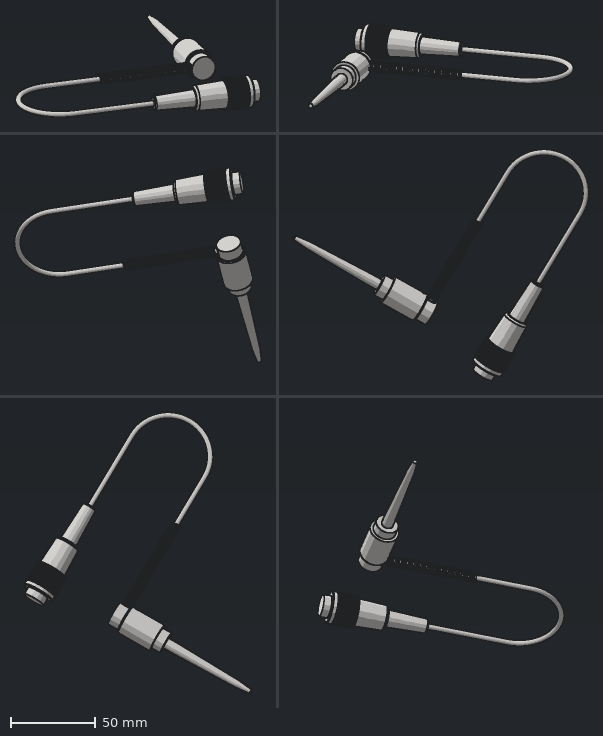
import cadquery as cq
import math


CABLE_DIAMETER = 3.8
CABLE_X = 90.3
CONNECTOR_X = 140.3
BEND_RADIUS = (CONNECTOR_X - CABLE_X) / 2
BEND_Y = -98.5
CABLE_START_Y = -3.8

TIP_DOME_LENGTH = 0.8
TIP_RADIUS = 1.5
TIP_CONE_END_X = 10.2
TIP_CONE_END_RADIUS = 5.0 / 2
TAPER_END_X = 52.6
STYLUS_RADIUS = 7.0 / 2

COLLAR_START_X = 59.0
COLLAR_RADIUS = 14.0 / 2
BARREL_START_X = 65.0
BARREL_RADIUS = 18 / 2
BARREL_END_X = 87.7
BARREL_CHAMFER = 0.8
CAP_END_X = 95.0
CAP_RADIUS = 15 / 2
SPRING_SEAT_DEPTH = 0.5
PIN_HOLE_DIAMETER = 1.5
PIN_HOLE_X = 84.3
PIN_HOLE_DEPTH = 1.5

SPRING_DIAMETER = 6.5
WIRE_DIAMETER = 1.0
SPRING_START_Y = -7.7
SPRING_END_Y = -65.0
SPRING_TURNS = 28.5

NOSE_END_Y = 17.1
NOSE_RADIUS = 13.7 / 2
GRIP_END_Y = 12.3
GRIP_RADIUS = 19.8 / 2
GRIP_START_Y = -4.0
GRIP_CHAMFER = 0.5
KNURL_END_Y = 9.2
KNURL_TEETH = 120
KNURL_DEPTH = 0.3

BOOT_TOP_RADIUS = 17.1 / 2
SHOULDER_Y = -21.8
SHOULDER_RADIUS = 7.8
SHOULDER_CHAMFER_LENGTH = 1.5
SHOULDER_FACE_RADIUS = 6.5
SLEEVE_TOP_RADIUS = 5.4
BOOT_END_Y = -48.7
BOOT_END_RADIUS = 9 / 2
BOOT_END_CHAMFER = 0.8


def cylinder_along_y(diameter, center_x, start_y, end_y):
    """Cylinder parallel to Y in the plane Z = 0."""
    axis_plane = cq.Plane(origin=(center_x, start_y, 0), xDir=(1, 0, 0), normal=(0, 1, 0))
    return cq.Workplane(axis_plane).circle(diameter / 2).extrude(end_y - start_y)


def turned_about_connector_axis(outline):
    """Solid of revolution about the connector axis from (radius, Y) points."""
    section = cq.Workplane("XY", origin=(CONNECTOR_X, 0, 0)).polyline(outline).close()
    return section.revolve(360, (0, 0, 0), (0, 1, 0))


def make_stylus():
    """Slender tapered rod with a domed tip."""
    dome_radius = (TIP_RADIUS**2 + TIP_DOME_LENGTH**2) / (2 * TIP_DOME_LENGTH)
    dome_half_angle = math.asin(TIP_RADIUS / dome_radius) / 2
    dome_middle = (dome_radius * (1 - math.cos(dome_half_angle)), dome_radius * math.sin(dome_half_angle))
    return (
        cq.Workplane("XY")
        .moveTo(0, 0)
        .threePointArc(dome_middle, (TIP_DOME_LENGTH, TIP_RADIUS))
        .lineTo(TIP_CONE_END_X, TIP_CONE_END_RADIUS)
        .lineTo(TAPER_END_X, STYLUS_RADIUS)
        .lineTo(COLLAR_START_X, STYLUS_RADIUS)
        .lineTo(COLLAR_START_X, 0)
        .close()
        .revolve(360, (0, 0, 0), (1, 0, 0))
    )


def make_housing():
    """Stepped round housing with a spring seat, a cable hole and a pin hole."""
    outline = [
        (COLLAR_START_X, 0),
        (COLLAR_START_X, COLLAR_RADIUS),
        (BARREL_START_X, COLLAR_RADIUS),
        (BARREL_START_X, BARREL_RADIUS),
        (BARREL_END_X - BARREL_CHAMFER, BARREL_RADIUS),
        (BARREL_END_X, BARREL_RADIUS - BARREL_CHAMFER),
        (BARREL_END_X, CAP_RADIUS),
        (CAP_END_X, CAP_RADIUS),
        (CAP_END_X, 0),
    ]
    housing = cq.Workplane("XY").polyline(outline).close().revolve(360, (0, 0, 0), (1, 0, 0))

    spring_seat = cylinder_along_y(SPRING_DIAMETER, CABLE_X, -BARREL_RADIUS, SPRING_SEAT_DEPTH - CAP_RADIUS)
    cable_hole = cylinder_along_y(CABLE_DIAMETER, CABLE_X, -BARREL_RADIUS, CABLE_START_Y)
    pin_hole = cylinder_along_y(PIN_HOLE_DIAMETER, PIN_HOLE_X, -BARREL_RADIUS, PIN_HOLE_DEPTH - BARREL_RADIUS)
    return housing.cut(spring_seat).cut(cable_hole).cut(pin_hole)


def make_cable():
    """Round cable from the housing, around the bend, to the plug."""
    path = (
        cq.Workplane("XY")
        .moveTo(CABLE_X, CABLE_START_Y)
        .lineTo(CABLE_X, BEND_Y)
        .threePointArc((CABLE_X + BEND_RADIUS, BEND_Y - BEND_RADIUS), (CONNECTOR_X, BEND_Y))
        .lineTo(CONNECTOR_X, GRIP_START_Y)
    )
    start = cq.Workplane("XZ", origin=(CABLE_X, CABLE_START_Y, 0)).circle(CABLE_DIAMETER / 2)
    return start.sweep(path)


def make_spring():
    """Open coil that surrounds the cable without touching it."""
    coil_radius = (SPRING_DIAMETER - WIRE_DIAMETER) / 2
    length = SPRING_START_Y - SPRING_END_Y
    helix = cq.Wire.makeHelix(length / SPRING_TURNS, length, coil_radius)
    wire_section = cq.Workplane("XZ").center(coil_radius, 0).circle(WIRE_DIAMETER / 2)
    coil = wire_section.sweep(cq.Workplane(helix), isFrenet=True)
    return coil.rotate((0, 0, 0), (1, 0, 0), 90).translate((CABLE_X, SPRING_START_Y, 0))


def make_plug():
    """Plain nose and a grip with a straight knurl."""
    blank = turned_about_connector_axis([
        (0, GRIP_START_Y),
        (GRIP_RADIUS - GRIP_CHAMFER, GRIP_START_Y),
        (GRIP_RADIUS, GRIP_START_Y + GRIP_CHAMFER),
        (GRIP_RADIUS, GRIP_END_Y - GRIP_CHAMFER),
        (GRIP_RADIUS - GRIP_CHAMFER, GRIP_END_Y),
        (NOSE_RADIUS, GRIP_END_Y),
        (NOSE_RADIUS, NOSE_END_Y),
        (0, NOSE_END_Y),
    ])
    toothed_outline = []
    for corner in range(2 * KNURL_TEETH):
        angle = math.pi * corner / KNURL_TEETH
        radius = GRIP_RADIUS - KNURL_DEPTH * (corner % 2)
        toothed_outline.append((radius * math.cos(angle), radius * math.sin(angle)))
    knurl_plane = cq.Plane(origin=(CONNECTOR_X, GRIP_START_Y, 0), xDir=(1, 0, 0), normal=(0, 1, 0))
    knurl_length = KNURL_END_Y - GRIP_START_Y
    teeth = cq.Workplane(knurl_plane).polyline(toothed_outline).close().extrude(knurl_length)
    around_teeth = cq.Workplane(knurl_plane).circle(2 * GRIP_RADIUS).extrude(knurl_length).cut(teeth)
    return blank.cut(around_teeth)


def make_boot():
    """Two-stage tapered boot, bored for the cable."""
    bore_radius = CABLE_DIAMETER / 2
    shoulder_face_y = SHOULDER_Y - SHOULDER_CHAMFER_LENGTH
    return turned_about_connector_axis([
        (bore_radius, GRIP_START_Y),
        (BOOT_TOP_RADIUS, GRIP_START_Y),
        (SHOULDER_RADIUS, SHOULDER_Y),
        (SHOULDER_FACE_RADIUS, shoulder_face_y),
        (SLEEVE_TOP_RADIUS, shoulder_face_y),
        (BOOT_END_RADIUS, BOOT_END_Y + BOOT_END_CHAMFER),
        (BOOT_END_RADIUS - BOOT_END_CHAMFER, BOOT_END_Y),
        (bore_radius, BOOT_END_Y),
    ])


stylus = make_stylus()
housing = make_housing()
cable = make_cable()
spring = make_spring()
plug = make_plug()
boot = make_boot()

result = cq.Compound.makeCompound([
    stylus.val(),
    housing.val(),
    cable.val(),
    spring.val(),
    plug.val(),
    boot.val(),
])